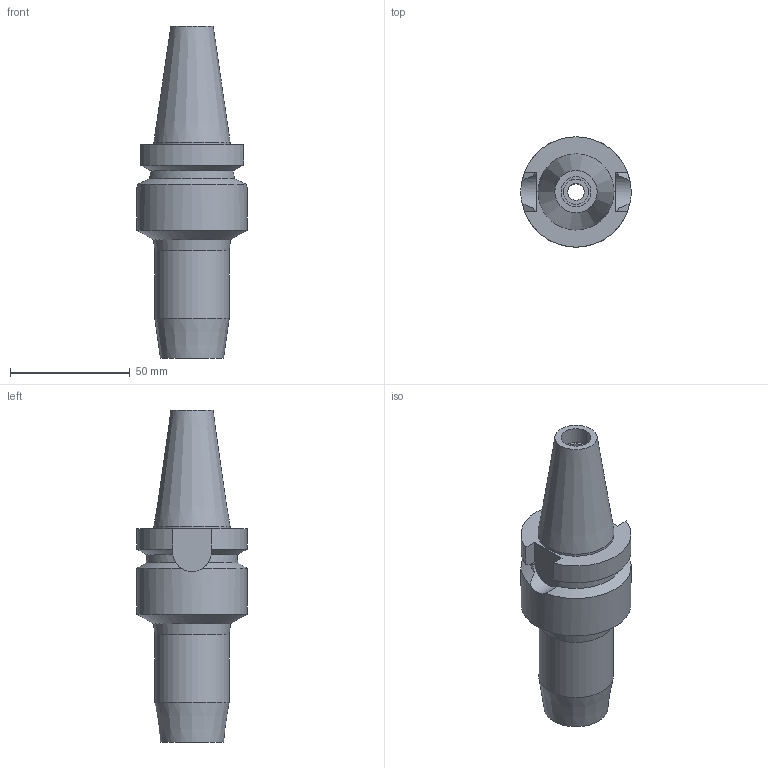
import cadquery as cq
import math

taper_ratio = 7 / 24
gauge_radius = 31.75 / 2
shank_length = 48.4
shank_end_radius = gauge_radius - shank_length * taper_ratio / 2

flange_radius = 46 / 2
flange_top_z = -1.0
groove_center_z = -13.6
groove_mouth_width = 8.0
groove_floor_radius = 38 / 2
groove_side_angle = math.radians(30)
groove_side_height = (flange_radius - groove_floor_radius) * math.tan(groove_side_angle)
groove_top_z = groove_center_z + groove_mouth_width / 2
groove_bottom_z = groove_center_z - groove_mouth_width / 2

collar_bottom_z = -36.7
collar_chamfer_angle = math.radians(30)

neck_radius = 32.1 / 2
body_radius = 31 / 2
collar_chamfer_end_z = collar_bottom_z - (flange_radius - neck_radius) * math.tan(collar_chamfer_angle)
neck_bottom_z = -45.3
nose_top_z = -73.5
nose_end_radius = 26.4 / 2
nose_end_z = -90.0

slot_width = 16.1
slot_floor_x = 16.3
slot_bottom_z = -19.0
slot_round_center_z = slot_bottom_z + slot_width / 2

mouth_bore_diameter = 12.5
mouth_bore_depth = 7.0
thread_bore_diameter = 10.5
thread_bore_depth = 30.0
through_bore_diameter = 7.0


def make_body():
    """Solid of revolution about Z: shank, grooved flange, collar, body and nose."""
    profile = (
        cq.Workplane("XZ")
        .moveTo(0, shank_length)
        .lineTo(shank_end_radius, shank_length)
        .lineTo(gauge_radius, 0)
        .lineTo(gauge_radius, flange_top_z)
        .lineTo(flange_radius, flange_top_z)
        .lineTo(flange_radius, groove_top_z)
        .lineTo(groove_floor_radius, groove_top_z - groove_side_height)
        .lineTo(groove_floor_radius, groove_bottom_z + groove_side_height)
        .lineTo(flange_radius, groove_bottom_z)
        .lineTo(flange_radius, collar_bottom_z)
        .lineTo(neck_radius, collar_chamfer_end_z)
        .lineTo(body_radius, neck_bottom_z)
        .lineTo(body_radius, nose_top_z)
        .lineTo(nose_end_radius, nose_end_z)
        .lineTo(0, nose_end_z)
        .close()
    )
    return profile.revolve(360, (0, 0, 0), (0, 1, 0))


def make_drive_slot(side):
    """Cutter for the round-ended drive slot on the +X (side = 1) or -X (side = -1) flank."""
    half_width = slot_width / 2
    return (
        cq.Workplane("YZ", origin=(side * slot_floor_x, 0, 0))
        .moveTo(-half_width, flange_top_z)
        .lineTo(-half_width, slot_round_center_z)
        .threePointArc((0, slot_bottom_z), (half_width, slot_round_center_z))
        .lineTo(half_width, flange_top_z)
        .close()
        .extrude(side * flange_radius)
    )


def make_bore(diameter, depth):
    """Cylindrical cutter running down from the shank end."""
    return cq.Workplane("XY", origin=(0, 0, shank_length)).circle(diameter / 2).extrude(-depth)


total_length = shank_length - nose_end_z

result = make_body()
for side in (1, -1):
    result = result.cut(make_drive_slot(side))
for diameter, depth in (
    (mouth_bore_diameter, mouth_bore_depth),
    (thread_bore_diameter, thread_bore_depth),
    (through_bore_diameter, total_length),
):
    result = result.cut(make_bore(diameter, depth))